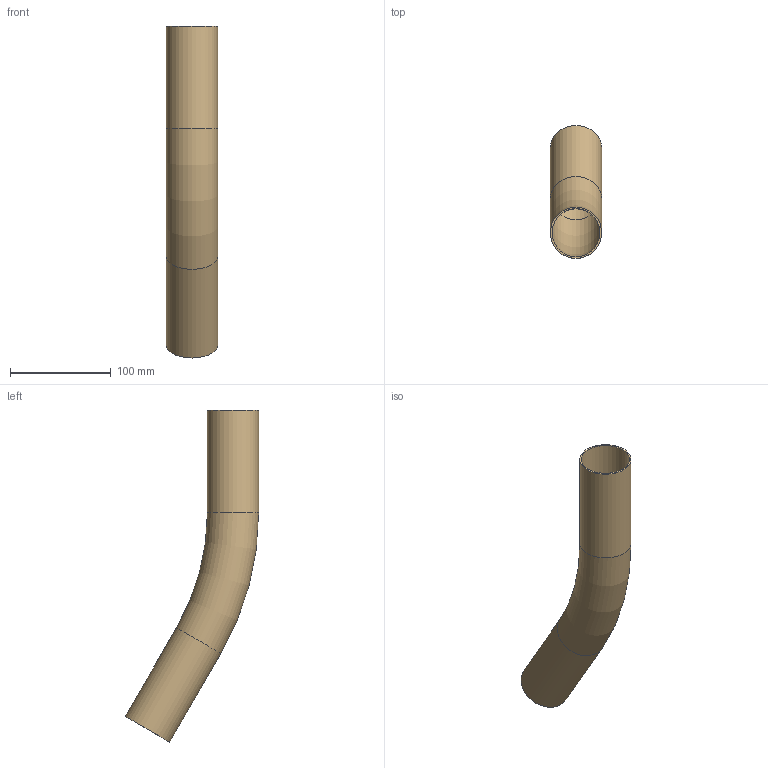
import cadquery as cq
import math

outer_diameter = 50.8
inner_diameter = 47.6
leg_length = 101.6
bend_radius = 254.0
bend_angle = 30.0


def bend_point(angle_degrees):
    """Centreline point (Y, Z) at an angle into the bend, which starts at the origin."""
    angle = math.radians(angle_degrees)
    y = bend_radius * (1 - math.cos(angle))
    z = -bend_radius * math.sin(angle)
    return (y, z)


def tube_centreline():
    """Path in the YZ plane: down the vertical leg, around the bend, along the tilted leg."""
    angle = math.radians(bend_angle)
    bend_end_y, bend_end_z = bend_point(bend_angle)
    lower_end = (
        bend_end_y + leg_length * math.sin(angle),
        bend_end_z - leg_length * math.cos(angle),
    )
    return (
        cq.Workplane("YZ")
        .moveTo(0, leg_length)
        .lineTo(0, 0)
        .threePointArc(bend_point(bend_angle / 2), (bend_end_y, bend_end_z))
        .lineTo(*lower_end)
    )


def bent_tube():
    """Sweep the ring-shaped section from the open top end along the centreline."""
    section = (
        cq.Workplane("XY", origin=(0, 0, leg_length))
        .circle(outer_diameter / 2)
        .circle(inner_diameter / 2)
    )
    return section.sweep(tube_centreline())


result = bent_tube()